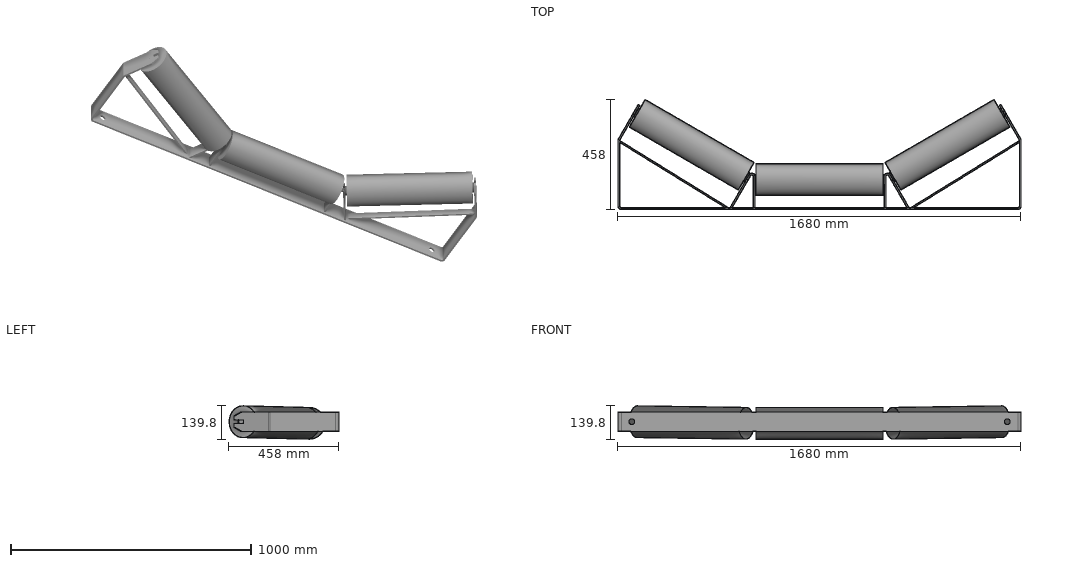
import cadquery as cq
import math


STRIP_THICKNESS = 8
FRAME_WIDTH = 80
FRAME_BEND_RADIUS = 14
BRACKET_BEND_RADIUS = 12

ROLLER_DIAMETER = 133
SIDE_ROLLER_LENGTH = 524
CENTRE_ROLLER_LENGTH = 530
SUPPORT_SPACING = 538
HUB_DIAMETER = 40
HUB_CLEARANCE = 0.5
SHAFT_DIAMETER = 24
SHAFT_FLATS = 15
SHAFT_LENGTH = SUPPORT_SPACING + 2 * STRIP_THICKNESS
SLOT_OVERRUN = 2

TROUGH_ANGLE = math.radians(30)
INNER_DROP = 6.9
CENTRE_AXIS_Y = 125

FRAME_LENGTH = 1680
OVERALL_HEIGHT = 458
MOUNT_HOLE_DIAMETER = 24
MOUNT_HOLE_SPACING = 1564
ARM_TIP_ABOVE_AXIS = 34
ARM_CHAMFER_ALONG = 32
ARM_CHAMFER_ACROSS = 16

BRACKET_TOP_Y = 151
BRACKET_WIDTH = 50
BRACKET_SIDE_FACE = 327

STRUT_THICKNESS = 7
STRUT_WIDTH = 30
STRUT_TOP_Y = 287
STRUT_FOOT_X = -380

OUTWARD = cq.Vector(-math.cos(TROUGH_ANGLE), math.sin(TROUGH_ANGLE), 0)
UPWARD = cq.Vector(math.sin(TROUGH_ANGLE), math.cos(TROUGH_ANGLE), 0)

ARM_OUTER_FACE = BRACKET_SIDE_FACE + SUPPORT_SPACING + STRIP_THICKNESS
BRACKET_CENTRE_FACE_X = -SUPPORT_SPACING / 2
SIDE_ROLLER_MIDDLE = BRACKET_SIDE_FACE + SUPPORT_SPACING / 2
SIDE_ROLLER_OUTER_END = SIDE_ROLLER_MIDDLE + SIDE_ROLLER_LENGTH / 2
SIDE_AXIS_UP = (OVERALL_HEIGHT - SIDE_ROLLER_OUTER_END * OUTWARD.y) / UPWARD.y - ROLLER_DIAMETER / 2

SUPPORT_SPAN = SUPPORT_SPACING + STRIP_THICKNESS
TILT_ANGLE = math.atan(INNER_DROP / SUPPORT_SPAN)


def trough_point(outward, upward):
    """Point in the XY plane from distances along the left roller axis and square to it."""
    point = OUTWARD * outward + UPWARD * upward
    return (point.x, point.y)


def mirrored(body):
    return body.mirror("YZ")


def side_roller_plane():
    x, y = trough_point(SIDE_ROLLER_MIDDLE, SIDE_AXIS_UP)
    axis = OUTWARD * math.cos(TILT_ANGLE) + cq.Vector(0, 0, math.sin(TILT_ANGLE))
    return cq.Plane(origin=(x, y, -INNER_DROP / 2), xDir=UPWARD, normal=axis)


def centre_roller_plane():
    return cq.Plane(origin=(0, CENTRE_AXIS_Y, -INNER_DROP), xDir=(0, 1, 0), normal=(-1, 0, 0))


def cylinder(plane, diameter, length):
    return cq.Workplane(plane).workplane(offset=-length / 2).circle(diameter / 2).extrude(length)


def flatted_shaft(plane, length):
    start = cq.Workplane(plane).workplane(offset=-length / 2)
    flats = start.rect(SHAFT_DIAMETER, SHAFT_FLATS).extrude(length)
    return cylinder(plane, SHAFT_DIAMETER, length).intersect(flats)


def roller(plane, length):
    shell = cylinder(plane, ROLLER_DIAMETER, length)
    hubs = cylinder(plane, HUB_DIAMETER, SUPPORT_SPACING - 2 * HUB_CLEARANCE)
    shaft = flatted_shaft(plane, SHAFT_LENGTH)
    return shell.union(hubs).union(shaft)


def slot_cutter(plane):
    """Shaft-shaped slots, open upwards, at both ends of a roller."""
    length = SHAFT_LENGTH + 2 * SLOT_OVERRUN
    opening = (
        cq.Workplane(plane)
        .workplane(offset=-length / 2)
        .center(FRAME_WIDTH / 2, 0)
        .rect(FRAME_WIDTH, SHAFT_FLATS)
        .extrude(length)
    )
    return flatted_shaft(plane, length).union(opening)


def bent_strip(outer_points, width, bend_radius):
    """Strip whose outer face follows the points, with its thickness on their right."""
    points = [cq.Vector(*point) for point in outer_points]
    steps = [(end - start).normalized() for start, end in zip(points, points[1:])]
    normals = [cq.Vector(step.y, -step.x, 0) for step in steps]

    inner = [points[0] + normals[0] * STRIP_THICKNESS]
    for point, before, after in zip(points[1:-1], normals, normals[1:]):
        inner.append(point + (before + after) * (STRIP_THICKNESS / (1 + before.dot(after))))
    inner.append(points[-1] + normals[-1] * STRIP_THICKNESS)

    outline = [(point.x, point.y) for point in points + inner[::-1]]
    strip = cq.Workplane("XY").polyline(outline).close().extrude(width / 2, both=True)
    for corners, radius in ((points, bend_radius), (inner, bend_radius - STRIP_THICKNESS)):
        for corner in corners[1:-1]:
            edge = cq.selectors.NearestToPointSelector(corner.toTuple())
            strip = strip.edges("|Z").edges(edge).fillet(radius)
    return strip


def arm_tip_cutter():
    """Wedges that taper both edges of the left arm towards its tip."""
    tip_up = SIDE_AXIS_UP + ARM_TIP_ABOVE_AXIS
    x, y = trough_point(ARM_OUTER_FACE, tip_up)
    plane = cq.Plane(origin=(x, y, 0), xDir=UPWARD, normal=OUTWARD)
    edge = FRAME_WIDTH / 2
    taper = [(-ARM_CHAMFER_ALONG, edge), (0, edge), (0, edge - ARM_CHAMFER_ACROSS)]
    wedge = cq.Workplane(plane).polyline(taper).close().extrude(STRIP_THICKNESS, both=True)
    return wedge.union(wedge.mirror("XY"))


def frame():
    left = -FRAME_LENGTH / 2
    tip = trough_point(ARM_OUTER_FACE, SIDE_AXIS_UP + ARM_TIP_ABOVE_AXIS)
    bend = (left, (ARM_OUTER_FACE - left * OUTWARD.x) / OUTWARD.y)
    right_side = [(-left, 0), (-bend[0], bend[1]), (-tip[0], tip[1])]
    body = bent_strip(right_side[::-1] + [(left, 0), bend, tip], FRAME_WIDTH, FRAME_BEND_RADIUS)

    holes = (
        cq.Workplane("XZ")
        .pushPoints([(-MOUNT_HOLE_SPACING / 2, 0), (MOUNT_HOLE_SPACING / 2, 0)])
        .circle(MOUNT_HOLE_DIAMETER / 2)
        .extrude(-STRIP_THICKNESS)
    )
    left_arm_cut = arm_tip_cutter().union(slot_cutter(side_roller_plane()))
    return body.cut(holes).cut(left_arm_cut).cut(mirrored(left_arm_cut))


def block_below_base_face():
    return cq.Workplane("XY").box(FRAME_LENGTH, FRAME_LENGTH, FRAME_LENGTH).translate(
        (0, STRIP_THICKNESS - FRAME_LENGTH / 2, 0)
    )


def left_bracket():
    """Inverted V on the base: one leg for the side roller, one for the centre roller."""
    foot_up = -BRACKET_SIDE_FACE * OUTWARD.y / UPWARD.y
    knee_up = (BRACKET_TOP_Y - BRACKET_SIDE_FACE * OUTWARD.y) / UPWARD.y
    outer_points = [
        trough_point(BRACKET_SIDE_FACE, foot_up),
        trough_point(BRACKET_SIDE_FACE, knee_up),
        (BRACKET_CENTRE_FACE_X, BRACKET_TOP_Y),
        (BRACKET_CENTRE_FACE_X, 0),
    ]
    body = bent_strip(outer_points, BRACKET_WIDTH, BRACKET_BEND_RADIUS).translate((0, 0, -INNER_DROP))
    body = body.cut(block_below_base_face())
    return body.cut(slot_cutter(side_roller_plane())).cut(slot_cutter(centre_roller_plane()))


def left_strut():
    """Flat diagonal from the frame side to the base, cut to fit both faces."""
    side_x = -FRAME_LENGTH / 2 + STRIP_THICKNESS
    slope = math.atan2(STRUT_TOP_Y - STRIP_THICKNESS, STRUT_FOOT_X - side_x)
    drop = STRUT_THICKNESS / math.cos(slope)
    setback = STRUT_THICKNESS / math.sin(slope)
    outline = [
        (side_x, STRUT_TOP_Y),
        (STRUT_FOOT_X, STRIP_THICKNESS),
        (STRUT_FOOT_X - setback, STRIP_THICKNESS),
        (side_x, STRUT_TOP_Y - drop),
    ]
    return cq.Workplane("XY").polyline(outline).close().extrude(STRUT_WIDTH / 2, both=True)


side_roller = roller(side_roller_plane(), SIDE_ROLLER_LENGTH)
centre_roller = roller(centre_roller_plane(), CENTRE_ROLLER_LENGTH)
bodies = [frame(), centre_roller]
for left_body in (side_roller, left_bracket(), left_strut()):
    bodies += [left_body, mirrored(left_body)]

result = cq.Compound.makeCompound([body.val() for body in bodies])